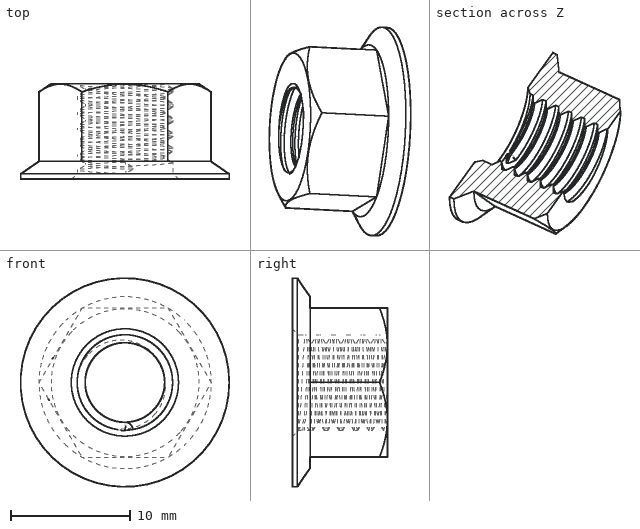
import cadquery as cq
import math

height = 8.0
flange_diameter = 17.5
flange_rim_height = 0.44
flange_height = 1.49

across_flats = 12.5
across_corners = across_flats / math.cos(math.pi / 6)
back_face_radius = 6.2
corner_drop = 0.68

major_diameter = 8.0
minor_diameter = 6.65
pitch = 1.25
mouth_diameter = 9.0
mouth_depth = 0.5
flank_angle = math.radians(30)
crest_width = pitch / 8
thread_start = 0.95
root_overlap = 0.04

major_radius = major_diameter / 2
minor_radius = minor_diameter / 2
corner_radius = across_corners / 2


def revolve_about_y(points):
    """Revolve a closed (radius, Y) outline about the nut axis."""
    return cq.Workplane("XY").polyline(points).close().revolve(360, (0, 0), (0, 1))


def make_flange():
    rim_radius = flange_diameter / 2
    return revolve_about_y([
        (0, 0),
        (rim_radius, 0),
        (rim_radius, flange_rim_height),
        (corner_radius, flange_height),
        (0, flange_height),
    ])


def make_hexagon():
    """Hexagon with corners on X, its far corners cut by a cone."""
    prism = cq.Workplane("XZ").polygon(6, across_corners).extrude(-height)
    envelope = revolve_about_y([
        (0, 0),
        (corner_radius, 0),
        (corner_radius, height - corner_drop),
        (back_face_radius, height),
        (0, height),
    ])
    return prism.intersect(envelope)


def make_bore():
    """Major-diameter bore with a conical mouth in the bearing face."""
    return revolve_about_y([
        (0, 0),
        (mouth_diameter / 2, 0),
        (major_radius, mouth_depth),
        (major_radius, height),
        (0, height),
    ])


def ridge_profile(root_radius):
    """Ridge cross-section: first axis is the radius, second runs along the nut."""
    half_crest = crest_width / 2
    half_root = half_crest + (root_radius - minor_radius) * math.tan(flank_angle)
    return (
        cq.Workplane("XZ")
        .polyline([
            (minor_radius, -half_crest),
            (root_radius, -half_root),
            (root_radius, half_root),
            (minor_radius, half_crest),
        ])
        .close()
    )


def place_on_nut(shape):
    """Turn the helix axis from Z to Y and its start from +X to -Z."""
    return (
        shape.rotate((0, 0, 0), (1, 0, 0), -90)
        .rotate((0, 0, 0), (0, 1, 0), 90)
        .translate((0, thread_start, 0))
    )


def make_thread():
    """Right-hand helical ridge, trimmed flush with the back face."""
    helix_length = height - thread_start + pitch
    path = cq.Wire.makeHelix(pitch, helix_length, minor_radius)
    ridge = ridge_profile(major_radius + root_overlap).sweep(cq.Workplane(path), isFrenet=True)
    limit = cq.Workplane("XZ").circle(flange_diameter / 2).extrude(-height)
    return place_on_nut(ridge).intersect(limit)


def make_thread_end():
    """Quarter-round runout: the ridge section turned about its root into the wall."""
    runout = ridge_profile(major_radius).revolve(90, (major_radius, 0), (major_radius, 1))
    return place_on_nut(runout)


body = make_flange().union(make_hexagon()).cut(make_bore())
result = body.union(make_thread()).union(make_thread_end())